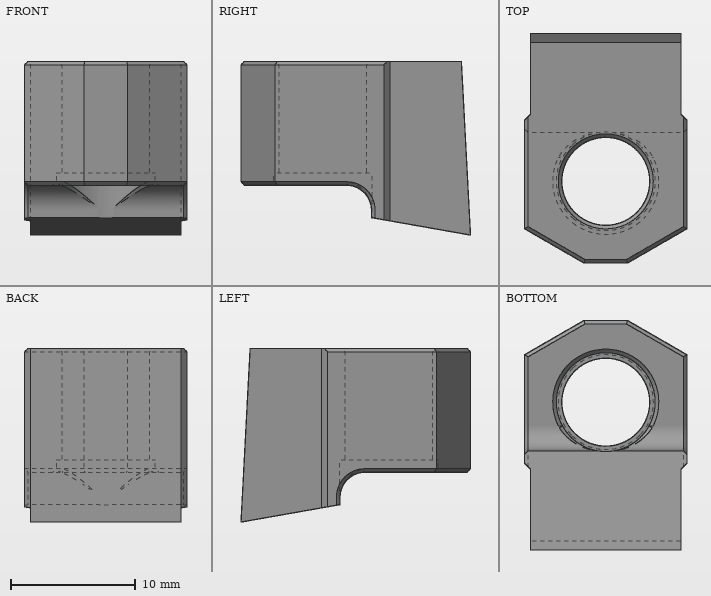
import cadquery as cq
import math

body_width = 13.1
tail_width = 12.14
length = 18.5
height = 14.0
nose_y = -6.59
nose_flat = 3.52
nose_angle = math.radians(30)
shoulder_y = 4.92
tail_lean = math.radians(3)
base_slope = math.radians(10)
nose_height = 9.99
foot_y = 3.92
undercut_radius = 2.0
edge_chamfer = 0.3
bore_radius = 3.53
clearance_radius = 3.98
counterbore_depth = 1.0
counterbore_chamfer = 0.3
rim_sections = 6
rim_overlap = 0.02
fade_start = 0.02

tail_y = nose_y + length
half_width = body_width / 2
half_tail = tail_width / 2
shoulder_step = half_width - half_tail
cheek_y = nose_y + (half_width - nose_flat / 2) * math.tan(nose_angle)
margin = 1.85


def plan_prism():
    """Full-height prism: faceted nose, straight cheeks and narrower tail."""
    right_side = [
        (nose_flat / 2, nose_y),
        (half_width, cheek_y),
        (half_width, shoulder_y),
        (half_tail, shoulder_y + shoulder_step),
        (half_tail, tail_y),
    ]
    left_side = [(-x, y) for x, y in reversed(right_side)]
    return cq.Workplane("XY").polyline(right_side + left_side).close().extrude(-height)


def side_prism():
    """Side profile with leaning tail, sloped base and undercut below the nose."""
    foot_z = -height + (tail_y - foot_y) * math.tan(base_slope)
    arc_offset = undercut_radius * (1 - math.sqrt(0.5))
    return (
        cq.Workplane("YZ")
        .moveTo(nose_y, 0)
        .lineTo(tail_y - height * math.tan(tail_lean), 0)
        .lineTo(tail_y, -height)
        .lineTo(foot_y, foot_z)
        .lineTo(foot_y, -nose_height - undercut_radius)
        .threePointArc(
            (foot_y - arc_offset, -nose_height - arc_offset),
            (foot_y - undercut_radius, -nose_height),
        )
        .lineTo(nose_y, -nose_height)
        .close()
        .extrude(half_width + margin, both=True)
    )


def chamfer_outer_edges(body):
    """Break the top rim of the nose and cheeks, and the rim of the undercut."""
    tol = 0.002

    def on_rim(edge):
        box = edge.BoundingBox()
        mid = edge.Center()
        on_top = box.zmin > -tol and mid.y < shoulder_y
        on_top = on_top and box.ymax < shoulder_y + tol
        on_cheek = box.xmax - box.xmin < tol and abs(mid.x) > half_width - tol
        below_nose = box.zmax < -nose_height + tol and box.ymax < foot_y + tol
        nose_rim = box.zmin > -nose_height - tol and box.ymax < cheek_y + tol
        return on_top or (below_nose and (on_cheek or nose_rim))

    rim = [edge for edge in body.edges().vals() if on_rim(edge)]
    return body.newObject(rim).chamfer(edge_chamfer)


def top_bore():
    """Through bore with a chamfered mouth in the top face."""
    mouth_radius = bore_radius + edge_chamfer
    return (
        cq.Workplane("XZ")
        .polyline([
            (0, 0),
            (mouth_radius, 0),
            (bore_radius, -edge_chamfer),
            (bore_radius, -height),
            (0, -height),
        ])
        .close()
        .revolve(360, (0, 0), (0, 1))
    )


def counterbore():
    """Wider recess from below that also grooves the foot wall."""
    shelf_z = counterbore_depth - nose_height
    return cq.Workplane("XY").workplane(offset=shelf_z).circle(clearance_radius).extrude(-height)


def undercut_z(y):
    """Height of the underside at a given Y, along the nose and the undercut arc."""
    reach = max(0.0, y - (foot_y - undercut_radius))
    return -nose_height - undercut_radius + math.sqrt(undercut_radius**2 - reach**2)


def counterbore_rim():
    """Rim chamfer: constant under the nose, fading out as the arc meets the foot wall."""
    flat_angle = math.acos((foot_y - undercut_radius) / clearance_radius)
    wall_angle = math.acos(foot_y / clearance_radius)

    cone = cq.Workplane("XY").add(
        cq.Solid.makeCone(
            clearance_radius + counterbore_chamfer,
            clearance_radius,
            counterbore_chamfer,
            pnt=cq.Vector(0, 0, -nose_height),
        )
    )
    nose_side = cq.Workplane("XY").box(body_width, length, 2 * height).translate(
        (0, clearance_radius * math.cos(flat_angle) - length / 2, 0)
    )

    def section(share):
        """Triangle in a radial plane; share runs from the wall (0) to the nose (1)."""
        angle = wall_angle + share * (flat_angle - wall_angle)
        size = share * counterbore_chamfer
        outer_radius = clearance_radius + size
        top_z = undercut_z(clearance_radius * math.cos(angle)) + size
        low_z = undercut_z(outer_radius * math.cos(angle))
        inner_radius = clearance_radius - rim_overlap
        corners = [
            (inner_radius, top_z + rim_overlap),
            (outer_radius, low_z),
            (inner_radius, low_z),
        ]
        points = [cq.Vector(r * math.sin(angle), r * math.cos(angle), z) for r, z in corners]
        return cq.Wire.makePolygon(points, close=True)

    sections = [section(i / rim_sections) for i in range(1, rim_sections + 1)]
    fade = cq.Workplane("XY").add(cq.Solid.makeLoft([section(fade_start)] + sections))
    return cone.intersect(nose_side), fade, fade.mirror("YZ")


body = chamfer_outer_edges(plan_prism().intersect(side_prism()))
result = body.cut(top_bore()).cut(counterbore())
for cutter in counterbore_rim():
    result = result.cut(cutter)